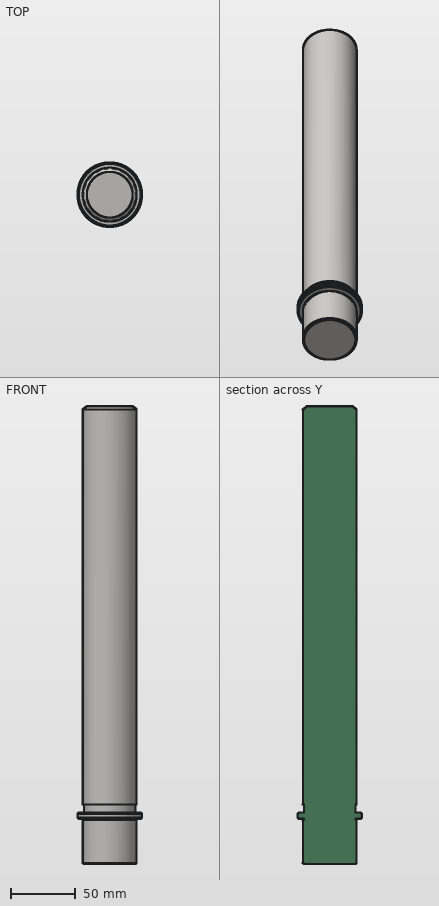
import cadquery as cq

total_length = 355.0
shaft_diameter = 42.0
tip_chamfer_width = 3.2
tip_chamfer_height = 2.5

plug_length = 35.0
collar_diameter = 50.0
collar_thickness = 5.0
neck_diameter = 40.0
neck_length = 6.0
edge_chamfer = 1.0

collar_top = plug_length + collar_thickness
shaft_start = collar_top + neck_length


def cylinder(diameter, start, length):
    """Solid cylinder on the Z axis, starting at the given height."""
    return cq.Workplane("XY").workplane(offset=start).circle(diameter / 2).extrude(length)


def make_plug():
    """Lower plug, chamfered at its foot and at its shoulder below the collar."""
    return cylinder(shaft_diameter, 0, plug_length).edges("<Z or >Z").chamfer(edge_chamfer)


def make_collar():
    """Locating collar with both rims chamfered."""
    return cylinder(collar_diameter, plug_length, collar_thickness).edges("<Z or >Z").chamfer(edge_chamfer)


def make_neck():
    """Relief neck between the collar and the main shaft."""
    return cylinder(neck_diameter, collar_top, neck_length)


def make_shaft():
    """Main shaft with a tapered lead-in at the tip."""
    shaft = cylinder(shaft_diameter, shaft_start, total_length - shaft_start)
    return shaft.faces(">Z").chamfer(tip_chamfer_height, tip_chamfer_width)


result = make_plug().union(make_collar()).union(make_neck()).union(make_shaft())